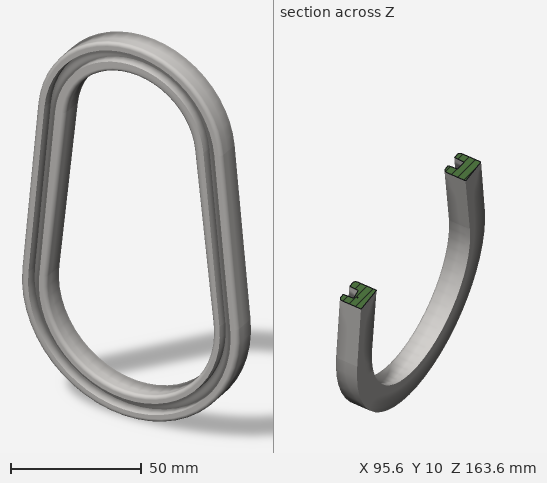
import cadquery as cq
import math

height = 163.6
depth = 10.0

bottom_radius = 47.8
top_radius = 40.7

opening_bottom_radius = 36.7
opening_top_radius = 28.5

outer_rim = 3.3
inner_rim_bottom = 3.1
inner_rim_top = 4.3
outer_groove_depth = 4.4
inner_groove_depth = 4.0
groove_taper = 0.3

edge_fillet = 1.5

front_y = -depth / 2
bottom_center_z = bottom_radius - height / 2
top_center_z = height / 2 - top_radius
center_distance = top_center_z - bottom_center_z


def egg_outline(low_radius, high_radius, y):
    """Closed outline at depth y: two arcs on the shared centers and their common tangents."""
    tilt = math.asin((low_radius - high_radius) / center_distance)
    low_x = low_radius * math.cos(tilt)
    low_z = bottom_center_z + low_radius * math.sin(tilt)
    high_x = high_radius * math.cos(tilt)
    high_z = top_center_z + high_radius * math.sin(tilt)
    return (
        cq.Workplane("XZ", origin=(0, y, 0))
        .moveTo(-low_x, low_z)
        .threePointArc((0, bottom_center_z - low_radius), (low_x, low_z))
        .lineTo(high_x, high_z)
        .threePointArc((0, top_center_z + high_radius), (-high_x, high_z))
        .close()
    )


def egg_prism(low_radius, high_radius):
    """Straight solid through the full depth."""
    return egg_outline(low_radius, high_radius, depth / 2).extrude(depth)


def egg_taper(near_radii, near_depth, far_radii, far_depth):
    """Solid lofted between two outlines, each at its depth behind the front face."""
    near_wire = egg_outline(*near_radii, front_y + near_depth).wire().val()
    far_wire = egg_outline(*far_radii, front_y + far_depth).wire().val()
    return cq.Workplane(cq.Solid.makeLoft([near_wire, far_wire], True))


def offset_radii(radii, offset):
    """Low and high radii moved outward by offset."""
    return tuple(radius + offset for radius in radii)


ring = egg_prism(bottom_radius, top_radius).cut(egg_prism(opening_bottom_radius, opening_top_radius))
ring = ring.faces("<Y").edges().fillet(edge_fillet)

outer_mouth = offset_radii((bottom_radius, top_radius), -outer_rim)
outer_floor = offset_radii(outer_mouth, -groove_taper)
inner_mouth = (opening_bottom_radius + inner_rim_bottom, opening_top_radius + inner_rim_top)
inner_floor = offset_radii(inner_mouth, groove_taper)

groove_outside = egg_taper(outer_mouth, 0, outer_floor, outer_groove_depth)
inner_wall_core = egg_taper(inner_mouth, 0, inner_floor, inner_groove_depth)
floor_core = egg_taper(inner_floor, inner_groove_depth, outer_floor, outer_groove_depth)
result = ring.cut(groove_outside.cut(inner_wall_core).cut(floor_core))